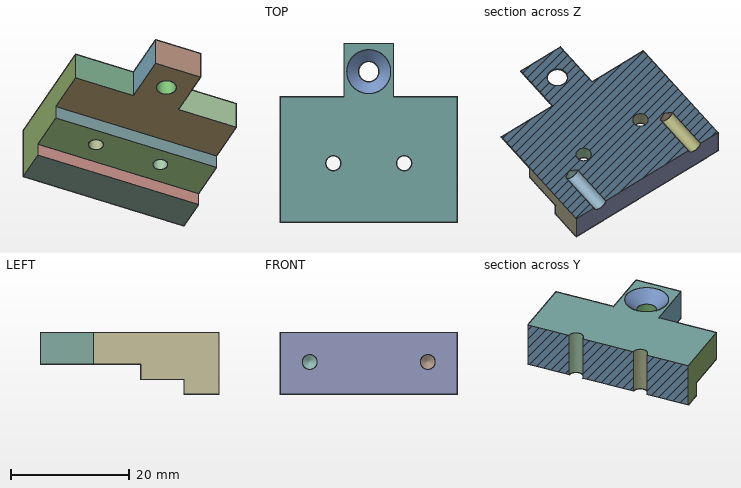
import cadquery as cq
import math

body_width = 30.0
total_length = 30.3
tab_length = 9.0
tab_width = 8.42
body_length = total_length - tab_length

front_depth = 10.5
middle_depth = 8.03
rear_depth = 5.42
front_step_end = 6.0
middle_step_end = 13.3

tab_hole_diameter = 3.4
countersink_diameter = 7.45
countersink_angle = 90.0
tab_hole_from_back = 4.8

small_hole_diameter = 2.5
top_hole_spacing = 12.0
top_hole_from_front = 10.0
front_hole_spacing = 20.0
front_hole_below_top = 5.03
front_hole_depth = 8.0
drill_point_angle = 118.0


def stepped_body():
    """Side profile in the YZ plane, extruded across the full width."""
    return (
        cq.Workplane("YZ")
        .moveTo(0, 0)
        .lineTo(body_length, 0)
        .lineTo(body_length, -rear_depth)
        .lineTo(middle_step_end, -rear_depth)
        .lineTo(middle_step_end, -middle_depth)
        .lineTo(front_step_end, -middle_depth)
        .lineTo(front_step_end, -front_depth)
        .lineTo(0, -front_depth)
        .close()
        .extrude(body_width / 2, both=True)
    )


def mounting_tab():
    """Rectangular tab projecting from the back, as thick as the rear step."""
    return (
        cq.Workplane("XY")
        .center(0, body_length + tab_length / 2)
        .rect(tab_width, tab_length)
        .extrude(-rear_depth)
    )


def drilled_hole(x):
    """Blind hole from the front face, ending in a conical drill point."""
    radius = small_hole_diameter / 2
    point_length = radius / math.tan(math.radians(drill_point_angle / 2))
    return (
        cq.Workplane("XY")
        .lineTo(radius, 0)
        .lineTo(radius, front_hole_depth)
        .lineTo(0, front_hole_depth + point_length)
        .close()
        .revolve(360, (0, 0), (0, 1))
        .translate((x, 0, -front_hole_below_top))
    )


result = stepped_body().union(mounting_tab())

result = (
    result.faces(">Z")
    .workplane(origin=(0, total_length - tab_hole_from_back, 0))
    .cskHole(tab_hole_diameter, countersink_diameter, countersink_angle)
)

result = (
    result.faces(">Z")
    .workplane(origin=(0, top_hole_from_front, 0))
    .pushPoints([(side * top_hole_spacing / 2, 0) for side in (-1, 1)])
    .hole(small_hole_diameter)
)

for side in (-1, 1):
    result = result.cut(drilled_hole(side * front_hole_spacing / 2))